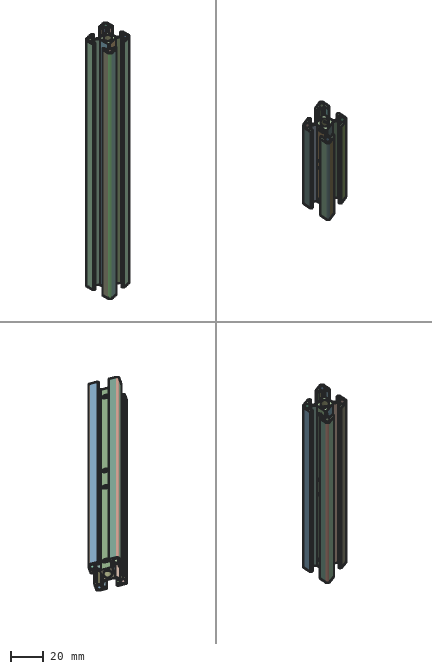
import cadquery as cq
import math

length = 220.0
width = 20.0
corner_radius = 1.5

slot_opening = 6.2
lip_thickness = 1.8
lip_chamfer = 0.7
slot_inner_width = 11.0

core_width = 8.0
web_thickness = 1.0
core_bore_diameter = 5.3
corner_bore_diameter = 3.0
corner_bore_offset = 7.7

cross_hole_diameter = 4.0

half_width = width / 2
hole_distance = half_width
half_opening = slot_opening / 2
half_inner = slot_inner_width / 2
half_core = core_width / 2
lip_inner = half_width - lip_thickness
web_shift = web_thickness / math.sqrt(2)


def slot_cutter():
    """Void of the T-slot on the +X face, over the full length."""
    upper_half = [
        (half_core, half_core - web_shift),
        (half_inner + web_shift, half_inner),
        (lip_inner, half_inner),
        (lip_inner, half_opening),
        (half_width - lip_chamfer, half_opening),
        (half_width, half_opening + lip_chamfer),
    ]
    lower_half = [(x, -y) for x, y in reversed(upper_half)]
    return cq.Workplane("XY").polyline(upper_half + lower_half).close().extrude(length)


def bar():
    """Square bar with rounded long edges and four T-slots."""
    body = cq.Workplane("XY").rect(width, width).extrude(length)
    body = body.edges("|Z").fillet(corner_radius)
    cutter = slot_cutter()
    for angle in (0, 90, 180, 270):
        body = body.cut(cutter.rotate((0, 0, 0), (0, 0, 1), angle))
    return body


def lengthwise_bores():
    """Central bore and the four corner bores."""
    spacing = 2 * corner_bore_offset
    core_bore = cq.Workplane("XY").circle(core_bore_diameter / 2).extrude(length)
    corner_bores = (
        cq.Workplane("XY")
        .rect(spacing, spacing, forConstruction=True)
        .vertices()
        .circle(corner_bore_diameter / 2)
        .extrude(length)
    )
    return core_bore.union(corner_bores)


def cross_holes():
    """Holes along X near both ends and on either side of mid-length."""
    middle = length / 2
    heights = [
        hole_distance,
        middle - hole_distance,
        middle + hole_distance,
        length - hole_distance,
    ]
    return (
        cq.Workplane("YZ")
        .pushPoints([(0, z) for z in heights])
        .circle(cross_hole_diameter / 2)
        .extrude(half_width, both=True)
    )


result = bar().cut(lengthwise_bores()).cut(cross_holes())